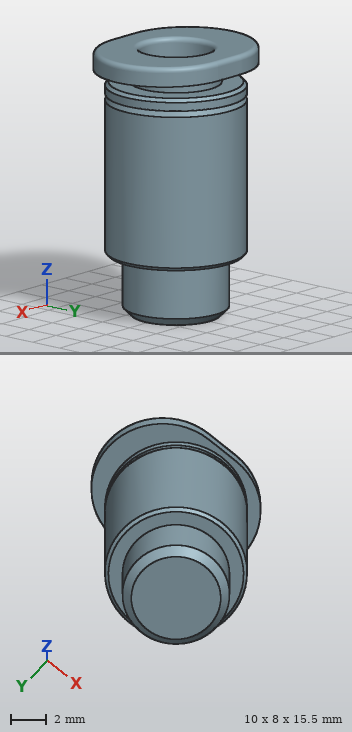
import cadquery as cq

total_height = 15.5
flange_thickness = 1.1
flange_bottom = total_height - flange_thickness
body_top = 13.5
body_bottom = 3.5

flange_length = 10.0
flange_width = 8.0
edge_radius = 0.3

neck_radius = 2.59
neck_flare = 0.06

body_radius = flange_width / 2
body_chamfer = 0.2
groove_top = 12.8
groove_bottom = 12.45
groove_depth = 0.15

spigot_radius = 3.0
spigot_chamfer = 0.5

bore_diameter = 4.2
bore_depth = total_height - body_bottom


def make_turned_body():
    """Revolve the half section of the spigot, body and neck."""
    half_section = [
        (0, 0),
        (spigot_radius - spigot_chamfer, 0),
        (spigot_radius, spigot_chamfer),
        (spigot_radius, body_bottom),
        (body_radius - body_chamfer, body_bottom),
        (body_radius, body_bottom + body_chamfer),
        (body_radius, groove_bottom),
        (body_radius - groove_depth, groove_top),
        (body_radius, groove_top),
        (body_radius, body_top - body_chamfer),
        (body_radius - body_chamfer, body_top),
        (neck_radius, body_top),
        (neck_radius, flange_bottom - neck_flare),
        (neck_radius + neck_flare, flange_bottom),
        (0, flange_bottom),
    ]
    return cq.Workplane("XZ").polyline(half_section).close().revolve(360, (0, 0, 0), (0, 1, 0))


def make_flange():
    """Extrude the oval flange upward from the neck."""
    return (
        cq.Workplane("XY")
        .workplane(offset=flange_bottom)
        .slot2D(flange_length, flange_width)
        .extrude(flange_thickness)
    )


result = (
    make_turned_body()
    .union(make_flange())
    .faces(">Z")
    .workplane(origin=(0, 0, total_height))
    .hole(bore_diameter, bore_depth)
    .faces(">Z")
    .edges()
    .fillet(edge_radius)
)